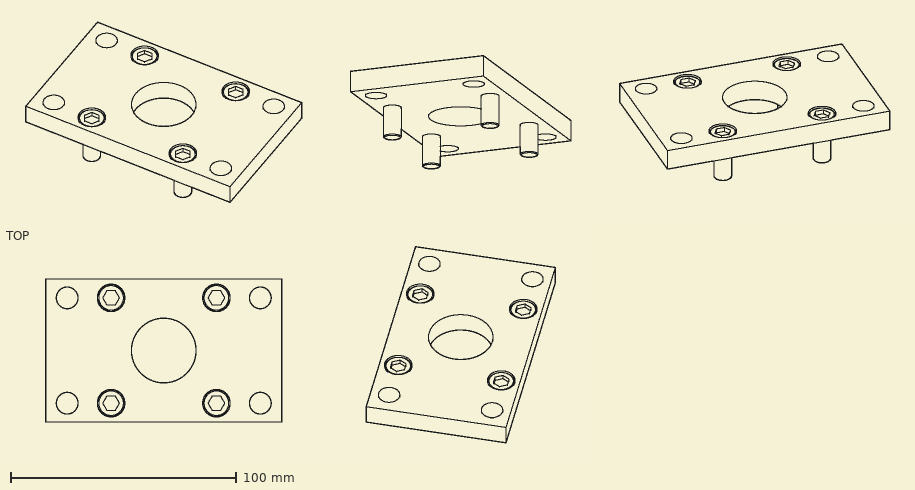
import cadquery as cq
import math

plate_length = 104.8
plate_width = 63.5
plate_thickness = 9.5
bore_diameter = 28.6

mount_hole_diameter = 9.5
mount_spacing_x = 85.7

screw_spacing = 46.7
shank_diameter = 8.0
head_diameter = 11.9
head_height = shank_diameter
head_chamfer = 0.5
head_recess = 0.4
counterbore_diameter = 12.3
socket_across_flats = 6.4
socket_across_corners = socket_across_flats / math.cos(math.pi / 6)
socket_depth = 2.0
shank_protrusion = 13.9
shank_tip_chamfer = 0.4

head_top_z = plate_thickness - head_recess
head_seat_z = head_top_z - head_height


def corner_points(spacing_x, spacing_y):
    """Four points on a rectangle centred on the origin."""
    return [(sx * spacing_x / 2, sy * spacing_y / 2) for sx in (-1, 1) for sy in (-1, 1)]


mount_points = corner_points(mount_spacing_x, screw_spacing)
screw_points = corner_points(screw_spacing, screw_spacing)


def top_plane(body):
    """Workplane on the top face of the plate, centred on the plate."""
    return body.faces(">Z").workplane(origin=(0, 0, plate_thickness))


def make_plate():
    """Rectangular plate with a central bore, mounting holes and counterbored screw holes."""
    body = cq.Workplane("XY").box(plate_length, plate_width, plate_thickness, centered=(True, True, False))
    body = top_plane(body).hole(bore_diameter)
    body = top_plane(body).pushPoints(mount_points).hole(mount_hole_diameter)
    return top_plane(body).pushPoints(screw_points).cboreHole(
        shank_diameter, counterbore_diameter, plate_thickness - head_seat_z
    )


def make_screw(x, y):
    """Cap screw at (x, y), its head just below the top of the plate."""
    shank = (
        cq.Workplane("XY", origin=(x, y, -shank_protrusion))
        .circle(shank_diameter / 2)
        .extrude(shank_protrusion + head_seat_z)
        .faces("<Z")
        .chamfer(shank_tip_chamfer)
    )
    head = (
        cq.Workplane("XY", origin=(x, y, head_seat_z))
        .circle(head_diameter / 2)
        .extrude(head_height)
        .faces(">Z")
        .chamfer(head_chamfer)
    )
    socket = (
        cq.Workplane("XY", origin=(x, y, head_top_z - socket_depth))
        .polygon(6, socket_across_corners)
        .extrude(socket_depth)
    )
    return shank.union(head).cut(socket)


plate = make_plate()
screws = [make_screw(x, y) for x, y in screw_points]

result = cq.Compound.makeCompound([plate.val(), *[screw.val() for screw in screws]])